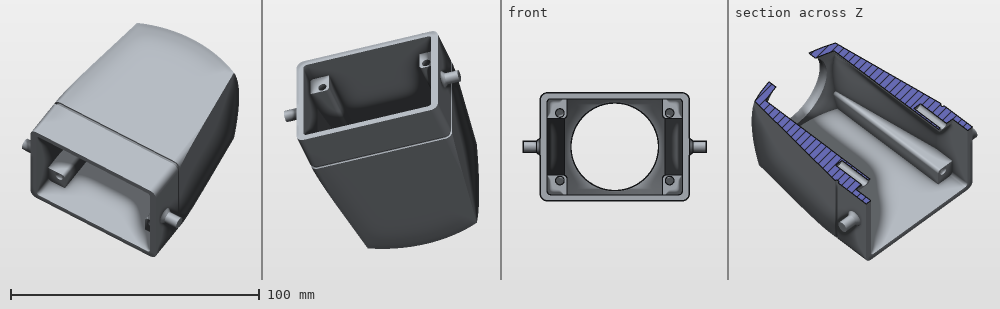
import cadquery as cq
import math

LENGTH = 75.0
WIDTH = 60.0
HEIGHT = 43.5
CORNER_RADIUS = 3.0
TAPER_ANGLE = 7.7

GROOVE_START = 16.4
GROOVE_WIDTH = 1.35
GROOVE_DEPTH = 0.8
TAPER_START = GROOVE_START + GROOVE_WIDTH

SIDE_WALL = 2.85
FLAT_WALL = 2.5
CAVITY_WIDTH = WIDTH - 2 * SIDE_WALL
CAVITY_HEIGHT = HEIGHT - 2 * FLAT_WALL
CAVITY_RADIUS = 1.4

OPENING_RADIUS = 17.55
DOME_RADIUS = 58.85
DOME_CENTER_Y = LENGTH - math.sqrt(DOME_RADIUS**2 - OPENING_RADIUS**2)
END_WALL = 3.9

PILLAR_FRONT = 8.7
PILLAR_INNER_X = 19.2
PILLAR_INNER_Z = 11.3
PILLAR_RADIUS = 1.5
SCREW_X = 22.05
SCREW_Z = 13.6
SCREW_RADIUS = 1.7
SCREW_DEPTH = 15.0

PIN_SPAN = 73.7
PIN_Y = 6.5
PIN_RADIUS = 2.3
COLLAR_RADIUS = 3.5
COLLAR_LENGTH = 1.4


def rounded_bar(width, height, radius, start, end):
    """Bar along Y with rounded lengthwise edges."""
    bar = cq.Workplane("XY").box(width, end - start, height).edges("|Y").fillet(radius)
    return bar.translate((0, (start + end) / 2, 0))


def tapered_envelope(half_width):
    """Tall block that is straight up to the taper start and then narrows in X."""
    end_half_width = half_width - (LENGTH - TAPER_START) * math.tan(math.radians(TAPER_ANGLE))
    outline = [
        (-half_width, 0),
        (half_width, 0),
        (half_width, TAPER_START),
        (end_half_width, LENGTH),
        (-end_half_width, LENGTH),
        (-half_width, TAPER_START),
    ]
    return cq.Workplane("XY").polyline(outline).close().extrude(HEIGHT / 2, both=True)


def dome_envelope(dome_radius):
    """Round block about Y, wider than the hood, with a spherical far end."""
    outer_radius = math.hypot(WIDTH, HEIGHT) / 2
    arc_middle = outer_radius / 2
    dome_edge_y = DOME_CENTER_Y + math.sqrt(dome_radius**2 - outer_radius**2)
    dome_middle_y = DOME_CENTER_Y + math.sqrt(dome_radius**2 - arc_middle**2)
    dome_top_y = DOME_CENTER_Y + dome_radius
    outline = (
        cq.Workplane("XY")
        .moveTo(0, -LENGTH)
        .lineTo(outer_radius, -LENGTH)
        .lineTo(outer_radius, dome_edge_y)
        .threePointArc((arc_middle, dome_middle_y), (0, dome_top_y))
        .close()
    )
    return outline.revolve(360, (0, 0, 0), (0, 1, 0))


def hood_form(width, height, radius, dome_radius):
    """Rounded bar narrowed by the taper and closed by the dome."""
    bar = rounded_bar(width, height, radius, 0, LENGTH)
    return bar.intersect(tapered_envelope(width / 2)).intersect(dome_envelope(dome_radius))


def make_groove():
    band = rounded_bar(WIDTH + CORNER_RADIUS, HEIGHT + CORNER_RADIUS, CORNER_RADIUS, GROOVE_START, TAPER_START)
    core = rounded_bar(
        WIDTH - 2 * GROOVE_DEPTH,
        HEIGHT - 2 * GROOVE_DEPTH,
        CORNER_RADIUS - GROOVE_DEPTH,
        GROOVE_START,
        TAPER_START,
    )
    return band.cut(core)


def y_cylinder(radius, x, z, start, length):
    """Cylinder that runs along +Y from start."""
    return cq.Workplane(cq.Solid.makeCylinder(radius, length, cq.Vector(x, start, z), cq.Vector(0, 1, 0)))


def make_pillar(side_x, side_z):
    """Corner block, rounded on its free edge, before it is trimmed to the cavity."""
    size_x = WIDTH / 2 - PILLAR_INNER_X
    size_z = HEIGHT / 2 - PILLAR_INNER_Z
    pillar = rounded_bar(size_x, size_z, PILLAR_RADIUS, PILLAR_FRONT, LENGTH)
    return pillar.translate((side_x * (PILLAR_INNER_X + size_x / 2), 0, side_z * (PILLAR_INNER_Z + size_z / 2)))


def make_housing():
    cavity = hood_form(CAVITY_WIDTH, CAVITY_HEIGHT, CAVITY_RADIUS, DOME_RADIUS - END_WALL)
    screw_holes = []
    for side_x in (-1, 1):
        for side_z in (-1, 1):
            cavity = cavity.cut(make_pillar(side_x, side_z))
            screw_holes.append(
                y_cylinder(SCREW_RADIUS, side_x * SCREW_X, side_z * SCREW_Z, PILLAR_FRONT, SCREW_DEPTH)
            )
    housing = hood_form(WIDTH, HEIGHT, CORNER_RADIUS, DOME_RADIUS).cut(make_groove()).cut(cavity)
    housing = housing.cut(y_cylinder(OPENING_RADIUS, 0, 0, 0, LENGTH))
    for hole in screw_holes:
        housing = housing.cut(hole)
    return housing


def make_pin(side):
    """Round pin with a conical collar that seats on the side wall of the housing."""
    seat_x = WIDTH / 2
    outline = [
        (seat_x, 0),
        (seat_x, COLLAR_RADIUS),
        (seat_x + COLLAR_LENGTH, PIN_RADIUS),
        (PIN_SPAN / 2, PIN_RADIUS),
        (PIN_SPAN / 2, 0),
    ]
    pin = cq.Workplane("XY").polyline(outline).close().revolve(360, (0, 0, 0), (1, 0, 0))
    if side < 0:
        pin = pin.mirror("YZ")
    return pin.translate((0, PIN_Y, 0))


housing = make_housing()
pins = [make_pin(side) for side in (-1, 1)]

result = cq.Compound.makeCompound([housing.val(), *[pin.val() for pin in pins]])